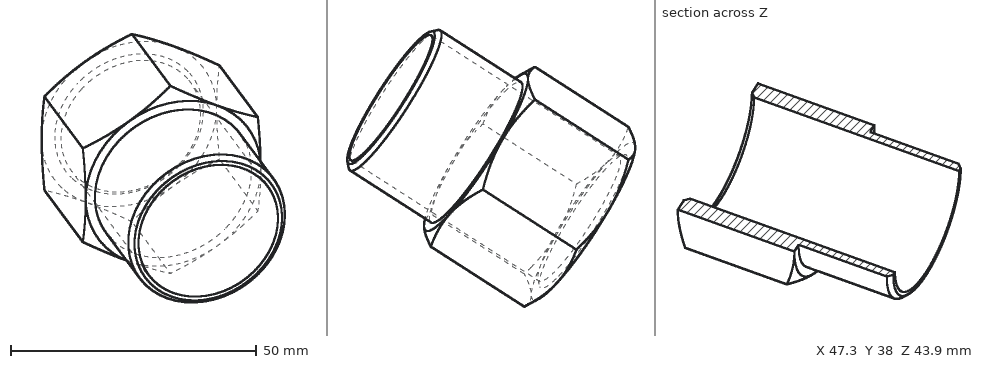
import cadquery as cq
import math

total_length = 47.3
hex_length = 26.4
across_flats = 38.0
spigot_diameter = 34.0
bore_diameter = 30.25
edge_chamfer = 1.0
corner_chamfer_angle = 30.0

across_corners = across_flats / math.cos(math.radians(30))
corner_radius = across_corners / 2
flat_radius = across_flats / 2
spigot_radius = spigot_diameter / 2
bore_radius = bore_diameter / 2


def revolve_about_x(points):
    """Turn a closed (x, radius) outline about the X axis."""
    return cq.Workplane("XY").polyline(points).close().revolve(360, (0, 0, 0), (1, 0, 0))


def chamfered_hexagon():
    """Hexagon with corners on +Z and -Z, trimmed by a cone at both ends."""
    prism = (
        cq.Workplane("YZ")
        .polygon(6, across_corners)
        .extrude(hex_length)
        .rotate((0, 0, 0), (1, 0, 0), 90)
    )
    envelope_radius = corner_radius + 0.45
    cone_depth = (envelope_radius - flat_radius) * math.tan(math.radians(corner_chamfer_angle))
    envelope = revolve_about_x([
        (0, 0),
        (0, flat_radius),
        (cone_depth, envelope_radius),
        (hex_length - cone_depth, envelope_radius),
        (hex_length, flat_radius),
        (hex_length, 0),
    ])
    return prism.intersect(envelope)


def spigot():
    """Round end with a chamfered outer rim."""
    return revolve_about_x([
        (0, 0),
        (0, spigot_radius),
        (total_length - edge_chamfer, spigot_radius),
        (total_length, spigot_radius - edge_chamfer),
        (total_length, 0),
    ])


def bore():
    """Through bore with a chamfered mouth in the hexagon end."""
    return revolve_about_x([
        (0, 0),
        (0, bore_radius + edge_chamfer),
        (edge_chamfer, bore_radius),
        (total_length, bore_radius),
        (total_length, 0),
    ])


result = chamfered_hexagon().union(spigot()).cut(bore())